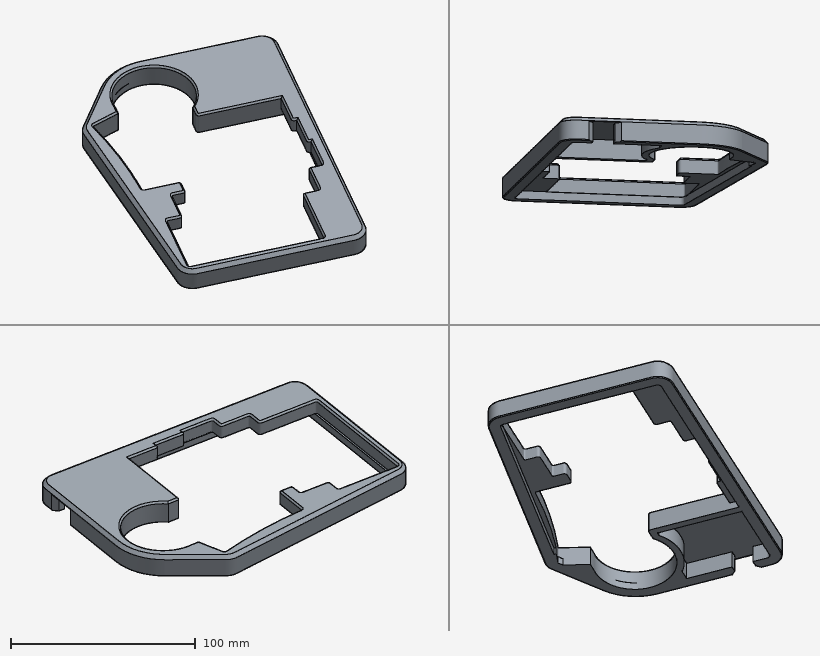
import cadquery as cq
import math

LENGTH = 173.4
WIDTH = 122.5
HEIGHT = 13.0

CORNER_RADIUS = 9.0
BALL_CORNER_RADIUS = 32.0
SLANT_RIGHT_Y = 16.3
SLANT_LOW_X = 43.9
SLANT_LOW_Y = -0.3
SLANT_LEFT_Y = 30.0
TOP_CHAMFER = 2.0
BASE_CHAMFER = 0.5

BALL_X = 30.0
BALL_Y = 45.5
BALL_RADIUS = 22.9
BALL_LIP_X = 37.6
BALL_LIP_Y = 22.7

BAY_EDGE_X = 52.9
BAY_EDGE_Y = 62.5
BACK_STEP_X = (72.3, 91.4, 111.1, 130.0)
BACK_STEP_Y = (110.3, 112.9, 115.0, 107.2, 97.8)
KEYS_RIGHT_X = 167.9

FRONT_Y = 21.2
SHELF_X = 128.7
SHELF_Y = 30.0
TAB_RIGHT_X = 110.0
TAB_LEFT_X = 101.1
TAB_Y = 37.8
THUMB_RIGHT_Y = 16.1
THUMB_MIDDLE = (67.6, 12.1)
THUMB_LEFT = (43.5, 6.5)

CONVEX_FILLET = 1.5
CONCAVE_FILLET = 0.9
OPENING_CHAMFER = 1.0

WALL = 6.8
INNER_WALL = 4.0
PLATE_BOTTOM = 4.5
BAY_ROOF = 10.5

NOTCH_Y = WIDTH - 23.4
NOTCH_WIDTH = 12.1
NOTCH_FLARE = 3.0


def upright_edges(body, points):
    """Vertical edges of the body that stand at the given XY points."""
    near = [cq.selectors.NearestToPointSelector((x, y, HEIGHT / 2)) for x, y in points]
    chosen = near[0]
    for selector in near[1:]:
        chosen = chosen + selector
    return body.edges("|Z").edges(chosen)


def make_block():
    """Full block with the rounded outer outline."""
    ball_corner = (0, SLANT_LEFT_Y)
    corners = [
        (0, WIDTH),
        (LENGTH, WIDTH),
        (LENGTH, SLANT_RIGHT_Y),
        (SLANT_LOW_X, SLANT_LOW_Y),
    ]
    block = cq.Workplane("XY").polyline(corners + [ball_corner]).close().extrude(HEIGHT)
    block = upright_edges(block, corners).fillet(CORNER_RADIUS)
    return upright_edges(block, [ball_corner]).fillet(BALL_CORNER_RADIUS)


def make_inside(block):
    """Space inside the outer walls, at full height."""
    return block.faces("<Z").wires().toPending().offset2D(-WALL).extrude(HEIGHT, combine=False)


def make_opening():
    """Stepped opening for the keys, joined to the ball hole."""
    ball_end_x = BALL_X + math.sqrt(BALL_RADIUS**2 - (BAY_EDGE_Y - BALL_Y) ** 2)
    ball_start_x = BALL_X + math.sqrt(BALL_RADIUS**2 - (BALL_Y - BALL_LIP_Y) ** 2)

    back_edges = (BAY_EDGE_X,) + BACK_STEP_X + (KEYS_RIGHT_X,)
    sketch = cq.Workplane("XY").moveTo(ball_end_x, BAY_EDGE_Y).lineTo(BAY_EDGE_X, BAY_EDGE_Y)
    for left, right, y in zip(back_edges, back_edges[1:], BACK_STEP_Y):
        sketch = sketch.lineTo(left, y).lineTo(right, y)
    opening = (
        sketch.lineTo(KEYS_RIGHT_X, FRONT_Y)
        .lineTo(SHELF_X, FRONT_Y)
        .lineTo(SHELF_X, SHELF_Y)
        .lineTo(TAB_RIGHT_X, SHELF_Y)
        .lineTo(TAB_RIGHT_X, TAB_Y)
        .lineTo(TAB_LEFT_X, TAB_Y)
        .lineTo(TAB_LEFT_X, THUMB_RIGHT_Y)
        .threePointArc(THUMB_MIDDLE, THUMB_LEFT)
        .lineTo(BALL_LIP_X, BALL_LIP_Y)
        .lineTo(ball_start_x, BALL_LIP_Y)
        .threePointArc((BALL_X - BALL_RADIUS, BALL_Y), (ball_end_x, BAY_EDGE_Y))
        .close()
        .extrude(HEIGHT)
    )

    convex = [(BAY_EDGE_X, BAY_EDGE_Y), (SHELF_X, SHELF_Y), (TAB_RIGHT_X, TAB_Y), (TAB_LEFT_X, TAB_Y)]
    convex += zip(BACK_STEP_X, BACK_STEP_Y[:2] + BACK_STEP_Y[3:])
    concave = [(KEYS_RIGHT_X, FRONT_Y), (SHELF_X, FRONT_Y), (TAB_RIGHT_X, SHELF_Y)]
    concave += [(TAB_LEFT_X, THUMB_RIGHT_Y), THUMB_LEFT]
    concave += zip(back_edges[3:], BACK_STEP_Y[2:])
    opening = upright_edges(opening, convex).fillet(CONVEX_FILLET)
    return upright_edges(opening, concave).fillet(CONCAVE_FILLET)


def cut_opening(body, inside):
    """Cut the opening, leaving the outer walls whole below the plate, and chamfer its top edge."""
    opening = make_opening()
    upper = cq.Workplane("XY").box(LENGTH, WIDTH, HEIGHT, centered=False).translate((0, 0, PLATE_BOTTOM))
    body = body.cut(opening.intersect(upper)).cut(opening.intersect(inside))
    margin = 2 * TOP_CHAMFER
    mouth = cq.selectors.BoxSelector(
        (margin, margin, 0), (LENGTH - margin, WIDTH - margin, HEIGHT + 1.7), boundingbox=True
    )
    return body.faces(">Z").edges(mouth).chamfer(OPENING_CHAMFER)


def make_key_hollow(inside):
    """Space below the key plate."""
    key_side = cq.Workplane("XY").box(LENGTH, WIDTH, PLATE_BOTTOM, centered=False)
    return inside.intersect(key_side.translate((BAY_EDGE_X, 0, 0)))


def make_bay(inside):
    """Bay in the back left corner, walled off from the keys and the ball."""
    corner = cq.Workplane("XY").box(BAY_EDGE_X - INNER_WALL, WIDTH, BAY_ROOF, centered=False)
    corner = corner.translate((0, BAY_EDGE_Y + INNER_WALL, 0))
    ball_wall = cq.Workplane("XY").center(BALL_X, BALL_Y).circle(BALL_RADIUS + INNER_WALL).extrude(HEIGHT)
    return inside.intersect(corner).cut(ball_wall)


def make_notch():
    """Cable notch that leads into the bay."""
    half = NOTCH_WIDTH / 2
    mouth_half = half + NOTCH_FLARE
    return (
        cq.Workplane("XY")
        .moveTo(0, NOTCH_Y + mouth_half)
        .lineTo(NOTCH_FLARE, NOTCH_Y + half)
        .lineTo(WALL, NOTCH_Y + half)
        .lineTo(WALL, NOTCH_Y - half)
        .lineTo(NOTCH_FLARE, NOTCH_Y - half)
        .lineTo(0, NOTCH_Y - mouth_half)
        .close()
        .extrude(BAY_ROOF)
    )


block = make_block()
inside = make_inside(block)
body = block.faces(">Z").edges().chamfer(TOP_CHAMFER)
body = body.faces("<Z").edges().chamfer(BASE_CHAMFER)
body = cut_opening(body, inside)
result = body.cut(make_key_hollow(inside)).cut(make_bay(inside)).cut(make_notch())